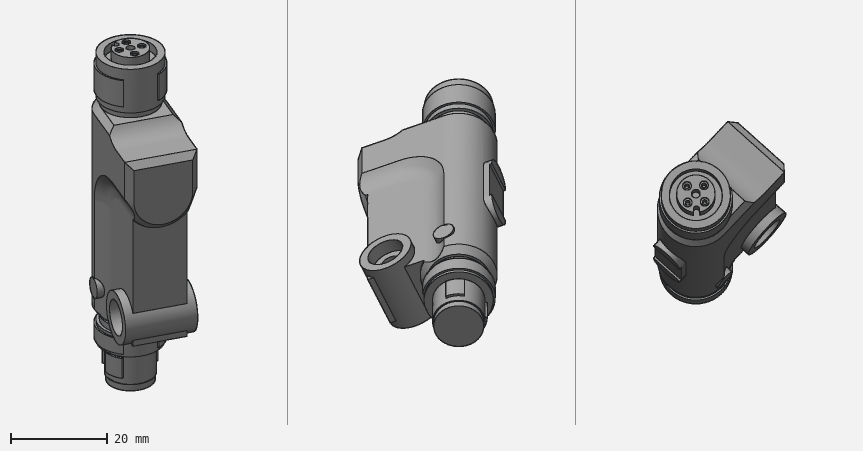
import cadquery as cq
import math


TUBE_R = 8.0
BODY_BOTTOM = 16.5
BODY_TOP = 66.5
TOP_BEVEL = 1.45
BOTTOM_BEVEL_HEIGHT = 1.7
BOTTOM_BEVEL_WIDTH = 1.35

ARM_END_X = 19.99
ARM_AXIS_Z = 54.5
ARM_TOP = 63.65
ARM_BEVEL = 1.5
SHOULDER_X = 7.95
SHOULDER_FOOT_X = 13.3
SHOULDER_R = 6.5

PLATE_HALF = 6.0
PLATE_END_X = 18.0
PLATE_BOTTOM = 18.75
COVE_R = 7.8
BEND_R = 10.0
BEND_X = BEND_R
BEND_Z = ARM_AXIS_Z - BEND_R
COVE_WIDTH = math.sqrt(COVE_R**2 - (COVE_R - (TUBE_R - PLATE_HALF))**2)
CUT_MARGIN = 2.0

BOSS_X = 13.2
BOSS_Z = 23.4
BOSS_R = 5.8
COUNTERBORE_R = 3.9
COUNTERBORE_DEPTH = 3.0
SCREW_HOLE_R = 2.2
DISC_R = 2.3
DISC_HALF = 8.2

PAD_X = -9.0
PAD_WINDOW_X = -8.5
PAD_HALF_WIDTH = 3.7
PAD_CENTRE_Z = 43.1
PAD_LENGTH = 18.65
WINDOW_HEIGHT = 11.0
PAD_ROOT_X = -5.0

SOCKET_TOP = 79.5
SOCKET_NECK_R = TUBE_R - TOP_BEVEL
SOCKET_NUT_R = 7.2
SOCKET_NUT_BOTTOM = 68.0
SOCKET_NUT_TOP = 78.5
SOCKET_RING_BOTTOM = 69.6
SOCKET_RING_TOP = 75.9
BORE_R = 5.5
BORE_FLOOR = 76.5
INSERT_R = 4.0
KEYWAY_R = 0.65
KEYWAY_OFFSET = 3.3
KEYWAY_ANGLE = 225
CONTACT_CIRCLE_R = 2.5
CONTACT_R = 0.9
CONTACT_RECESS = 0.4
PIN_HOLE_R = 0.5
PIN_HOLE_DEPTH = 2.5

PLUG_R = 5.45
PLUG_TIP_R = 5.2
PLUG_TIP_LENGTH = 1.65
PLUG_NUT_R = 7.2
PLUG_NUT_BOTTOM = 9.35
PLUG_RING_BOTTOM = 10.1
PLUG_RING_TOP = 13.7
PLUG_NUT_TOP = 14.4
PLUG_COLLAR_R = 6.5
PLUG_COLLAR_TOP = 15.9
PLUG_NECK_R = 4.6

RING_R = 7.6
RING_GAP_X = 6.5

LUG_R = 5.95
LUG_BOTTOM = 3.3
LUGS = ((105, 3.9, 8.7), (224, 3.9, 8.8), (301, 4.4, 8.05))


def disc(radius, bottom, top):
    return cq.Workplane("XY").workplane(offset=bottom).circle(radius).extrude(top - bottom)


def block(x0, x1, half_width, z0, z1):
    return (
        cq.Workplane("XY")
        .box(x1 - x0, 2 * half_width, z1 - z0, centered=(False, True, False))
        .translate((x0, 0, z0))
    )


def cross_cylinder(x, z, radius, y0, y1):
    """Cylinder along Y between y0 and y1."""
    return cq.Workplane("XZ", origin=(x, y0, z)).circle(radius).extrude(-(y1 - y0))


def both_flanks(shape):
    return shape.union(shape.mirror("XZ"))


def make_tube():
    bottom_r = TUBE_R - BOTTOM_BEVEL_WIDTH
    top_r = TUBE_R - TOP_BEVEL
    return (
        cq.Workplane("XZ")
        .moveTo(0, BODY_BOTTOM)
        .lineTo(bottom_r, BODY_BOTTOM)
        .lineTo(TUBE_R, BODY_BOTTOM + BOTTOM_BEVEL_HEIGHT)
        .lineTo(TUBE_R, BODY_TOP - TOP_BEVEL)
        .lineTo(top_r, BODY_TOP)
        .lineTo(0, BODY_TOP)
        .close()
        .revolve(360, (0, 0, 0), (0, 1, 0))
    )


def make_arm():
    """Arm along X with a round underside, bevelled around its free end."""
    return (
        cq.Workplane("YZ")
        .moveTo(-TUBE_R, ARM_TOP)
        .lineTo(-TUBE_R, ARM_AXIS_Z)
        .threePointArc((0, ARM_AXIS_Z - TUBE_R), (TUBE_R, ARM_AXIS_Z))
        .lineTo(TUBE_R, ARM_TOP)
        .close()
        .extrude(ARM_END_X)
        .faces(">X")
        .chamfer(ARM_BEVEL)
    )


def make_shoulder():
    """Concave step from the tube top down to the arm, with bevelled top edges."""
    profile = (
        cq.Workplane("XZ", origin=(0, TUBE_R, 0))
        .moveTo(0, ARM_AXIS_Z)
        .lineTo(0, BODY_TOP)
        .lineTo(SHOULDER_X, BODY_TOP)
        .radiusArc((SHOULDER_FOOT_X, ARM_TOP), -SHOULDER_R)
        .lineTo(SHOULDER_FOOT_X, ARM_AXIS_Z)
        .close()
        .extrude(2 * TUBE_R)
    )
    roof = (
        cq.Workplane("YZ")
        .moveTo(-TUBE_R, ARM_AXIS_Z)
        .lineTo(-TUBE_R, BODY_TOP - TOP_BEVEL)
        .lineTo(-TUBE_R + TOP_BEVEL, BODY_TOP)
        .lineTo(TUBE_R - TOP_BEVEL, BODY_TOP)
        .lineTo(TUBE_R, BODY_TOP - TOP_BEVEL)
        .lineTo(TUBE_R, ARM_AXIS_Z)
        .close()
        .extrude(SHOULDER_FOOT_X)
    )
    return profile.intersect(roof)


def cove_profile(plane, start, towards_plate):
    """Section removed beyond the cove on the -Y flank.

    The section starts at the flank line, where the surface is at y = -TUBE_R,
    and runs along local x in the direction towards_plate (+1 or -1).
    """
    outside = -TUBE_R - CUT_MARGIN
    half_angle = math.asin(COVE_WIDTH / COVE_R) / 2
    middle = (
        start + towards_plate * (COVE_WIDTH - COVE_R * math.sin(half_angle)),
        -PLATE_HALF - COVE_R * (1 - math.cos(half_angle)),
    )
    plate_edge = start + towards_plate * COVE_WIDTH
    far_edge = start + towards_plate * BEND_R
    return (
        plane.moveTo(start, outside)
        .lineTo(start, -TUBE_R)
        .threePointArc(middle, (plate_edge, -PLATE_HALF))
        .lineTo(far_edge, -PLATE_HALF)
        .lineTo(far_edge, outside)
        .close()
    )


def make_flank_cut():
    """Recess of the -Y flank: up the tube, round the bend, along the arm."""
    upright = cove_profile(cq.Workplane("XY"), 0, 1).extrude(BEND_Z)
    bend = cove_profile(cq.Workplane("XY", origin=(0, 0, BEND_Z)), 0, 1)
    bend = bend.revolve(360, (BEND_X, 0, 0), (BEND_X, 1, 0))
    across_arm = cq.Workplane("ZY", origin=(ARM_END_X + CUT_MARGIN, 0, 0))
    level = cove_profile(across_arm, ARM_AXIS_Z, -1).extrude(ARM_END_X + CUT_MARGIN - BEND_X)
    return upright.union(level).union(bend)


def make_housing():
    plate = block(0, PLATE_END_X, PLATE_HALF, PLATE_BOTTOM, ARM_AXIS_Z)
    corner = block(0, BEND_X, TUBE_R, BEND_Z, ARM_AXIS_Z)
    housing = make_tube().union(corner).union(make_arm()).union(make_shoulder())
    return housing.union(plate).cut(both_flanks(make_flank_cut()))


def add_boss(body):
    body = body.union(cross_cylinder(BOSS_X, BOSS_Z, BOSS_R, -TUBE_R, TUBE_R))
    body = body.union(cross_cylinder(0, BOSS_Z, DISC_R, -DISC_HALF, DISC_HALF))
    counterbore = cross_cylinder(
        BOSS_X, BOSS_Z, COUNTERBORE_R, -TUBE_R, -TUBE_R + COUNTERBORE_DEPTH
    )
    body = body.cut(both_flanks(counterbore))
    return body.cut(cross_cylinder(BOSS_X, BOSS_Z, SCREW_HOLE_R, -TUBE_R, TUBE_R))


def make_pad():
    pad = (
        cq.Workplane("YZ", origin=(PAD_X, 0, PAD_CENTRE_Z))
        .slot2D(PAD_LENGTH, 2 * PAD_HALF_WIDTH, 90)
        .extrude(PAD_ROOT_X - PAD_X)
    )
    half_height = WINDOW_HEIGHT / 2
    window = block(
        PAD_X, PAD_WINDOW_X, PAD_HALF_WIDTH, PAD_CENTRE_Z - half_height, PAD_CENTRE_Z + half_height
    )
    return pad.cut(window)


def make_grip_ring(bottom, top):
    gap_half_width = math.sqrt(RING_R**2 - RING_GAP_X**2)
    reach = 2 * RING_R
    gap = (
        cq.Workplane("XY", origin=(0, 0, bottom))
        .polyline([
            (0, 0),
            (reach, -reach * gap_half_width / RING_GAP_X),
            (reach, reach * gap_half_width / RING_GAP_X),
        ])
        .close()
        .extrude(top - bottom)
    )
    return disc(RING_R, bottom, top).cut(gap)


def make_socket():
    neck = disc(SOCKET_NECK_R, BODY_TOP - TOP_BEVEL, SOCKET_NUT_BOTTOM)
    nut = disc(SOCKET_NUT_R, SOCKET_NUT_BOTTOM, SOCKET_NUT_TOP)
    nut = nut.union(make_grip_ring(SOCKET_RING_BOTTOM, SOCKET_RING_TOP))
    nut = nut.cut(disc(BORE_R, BORE_FLOOR, SOCKET_NUT_TOP))
    return neck.union(nut).union(make_insert())


def make_insert():
    insert = disc(INSERT_R, SOCKET_NUT_BOTTOM, SOCKET_TOP)
    keyway = (
        cq.Workplane("XY", origin=(0, 0, BORE_FLOOR))
        .center(KEYWAY_OFFSET + KEYWAY_R, 0)
        .slot2D(4 * KEYWAY_R, 2 * KEYWAY_R)
        .extrude(SOCKET_TOP - BORE_FLOOR)
        .rotate((0, 0, 0), (0, 0, 1), KEYWAY_ANGLE)
    )
    contacts = cq.Workplane("XY", origin=(0, 0, SOCKET_TOP)).polarArray(CONTACT_CIRCLE_R, 0, 360, 4)
    insert = insert.cut(keyway)
    insert = insert.cut(contacts.circle(CONTACT_R).extrude(-CONTACT_RECESS))
    insert = insert.cut(contacts.circle(PIN_HOLE_R).extrude(-PIN_HOLE_DEPTH))
    return insert.cut(disc(CONTACT_R, SOCKET_TOP - PIN_HOLE_DEPTH, SOCKET_TOP))


def make_plug():
    plug = disc(PLUG_TIP_R, 0, PLUG_TIP_LENGTH)
    plug = plug.union(disc(PLUG_R, PLUG_TIP_LENGTH, PLUG_NUT_BOTTOM))
    plug = plug.union(disc(PLUG_NUT_R, PLUG_NUT_BOTTOM, PLUG_NUT_TOP))
    plug = plug.union(make_grip_ring(PLUG_RING_BOTTOM, PLUG_RING_TOP))
    plug = plug.union(disc(PLUG_COLLAR_R, PLUG_NUT_TOP, PLUG_COLLAR_TOP))
    plug = plug.union(disc(PLUG_NECK_R, PLUG_COLLAR_TOP, BODY_BOTTOM))
    for direction, width, top in LUGS:
        lug = block(0, 2 * LUG_R, width / 2, LUG_BOTTOM, top)
        lug = lug.rotate((0, 0, 0), (0, 0, 1), direction)
        plug = plug.union(lug.intersect(disc(LUG_R, LUG_BOTTOM, top)))
    return plug


result = add_boss(make_housing()).union(make_pad()).union(make_socket()).union(make_plug())